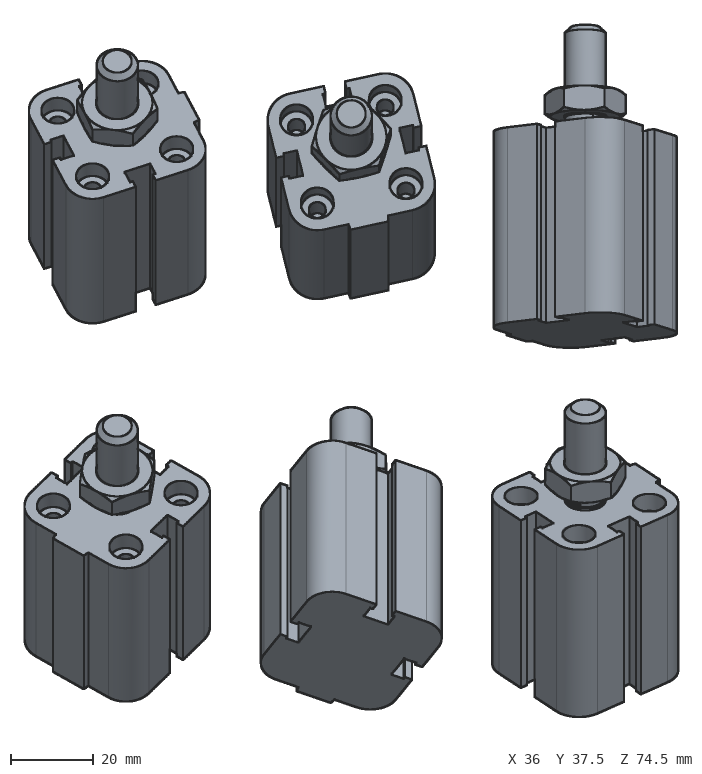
import cadquery as cq
import math

total_height = 74.5
housing_height = 48.05
end_cap_height = 12.5

housing_width = 36.0
corner_radius = 7.0
rail_height = 1.5
rail_base_width = 9.8
rail_top_width = 9.4

slot_depth = 5.3
slot_lip_depth = 1.9
slot_mouth_width = 5.2
slot_inner_width = 6.6

mount_pitch = 22.0
counterbore_diameter = 8.0
counterbore_depth = 4.85
mount_hole_diameter = 4.1
mount_hole_depth = end_cap_height

rod_diameter = 10.0
rod_tip_chamfer = 1.5
rod_depth_in_housing = end_cap_height
collar_height = 0.7
neck_diameter = 9.8
neck_shoulder_height = 0.2
flat_start_above_housing = 1.5
across_rod_flats = 7.9

nut_height = 6.0
nut_base_z = 52.5
nut_across_flats = 17.0
nut_bore_diameter = rod_diameter
nut_bore_chamfer = 0.15
nut_chamfer_angle = 30.0

half_width = housing_width / 2


def make_t_slot(side_angle):
    """T-slot cutter opening on the +Y side, turned about Z by side_angle degrees."""
    mouth = cq.Workplane("XY").center(0, half_width - slot_depth / 2).rect(slot_mouth_width, slot_depth)
    mouth = mouth.extrude(housing_height)
    inner_depth = slot_depth - slot_lip_depth
    inner_center = half_width - slot_depth + inner_depth / 2
    inner = cq.Workplane("XY").center(0, inner_center).rect(slot_inner_width, inner_depth)
    inner = inner.extrude(housing_height)
    return mouth.union(inner).rotate((0, 0, 0), (0, 0, 1), side_angle)


def make_rail():
    """Slightly tapered rail on the +Y side of the housing."""
    return (
        cq.Workplane("XY")
        .moveTo(-rail_base_width / 2, half_width)
        .lineTo(-rail_top_width / 2, half_width + rail_height)
        .lineTo(rail_top_width / 2, half_width + rail_height)
        .lineTo(rail_base_width / 2, half_width)
        .close()
        .extrude(housing_height)
    )


def make_housing():
    body = cq.Workplane("XY").rect(housing_width, housing_width).extrude(housing_height)
    body = body.edges("|Z").fillet(corner_radius).union(make_rail())
    for side_angle in (90, 180, 270):
        body = body.cut(make_t_slot(side_angle))
    body = (
        body.faces(">Z").workplane(origin=(0, 0, housing_height))
        .rect(mount_pitch, mount_pitch, forConstruction=True).vertices()
        .cboreHole(mount_hole_diameter, counterbore_diameter, counterbore_depth, mount_hole_depth)
    )
    rod_bore = cq.Workplane("XY", origin=(0, 0, housing_height)).circle(rod_diameter / 2)
    return body.cut(rod_bore.extrude(-rod_depth_in_housing))


def make_rod():
    radius = rod_diameter / 2
    neck_radius = neck_diameter / 2
    base_z = housing_height - rod_depth_in_housing
    collar_top_z = housing_height + collar_height
    rod = (
        cq.Workplane("XZ")
        .moveTo(0, base_z)
        .lineTo(radius, base_z)
        .lineTo(radius, collar_top_z)
        .lineTo(neck_radius, collar_top_z + neck_shoulder_height)
        .lineTo(neck_radius, nut_base_z - neck_shoulder_height)
        .lineTo(radius, nut_base_z)
        .lineTo(radius, total_height - rod_tip_chamfer)
        .lineTo(radius - rod_tip_chamfer, total_height)
        .lineTo(0, total_height)
        .close()
        .revolve(360, (0, 0, 0), (0, 1, 0))
    )
    flat_z = housing_height + flat_start_above_housing
    flats = cq.Workplane("XY", origin=(0, 0, flat_z)).rect(2 * rod_diameter, 2 * rod_diameter)
    flats = flats.rect(2 * rod_diameter, across_rod_flats).extrude(nut_base_z - flat_z)
    return rod.cut(flats)


def make_nut():
    across_corners = nut_across_flats / math.cos(math.pi / 6)
    hexagon = cq.Workplane("XY", origin=(0, 0, nut_base_z)).polygon(6, across_corners).extrude(nut_height)
    flat_radius = nut_across_flats / 2
    tip_radius = across_corners / 2
    chamfer_rise = (tip_radius - flat_radius) * math.tan(math.radians(nut_chamfer_angle))
    nut_top_z = nut_base_z + nut_height
    envelope = (
        cq.Workplane("XZ")
        .moveTo(0, nut_base_z)
        .lineTo(flat_radius, nut_base_z)
        .lineTo(tip_radius, nut_base_z + chamfer_rise)
        .lineTo(tip_radius, nut_top_z - chamfer_rise)
        .lineTo(flat_radius, nut_top_z)
        .lineTo(0, nut_top_z)
        .close()
        .revolve(360, (0, 0, 0), (0, 1, 0))
    )
    bore = cq.Workplane("XY", origin=(0, 0, nut_base_z)).circle(nut_bore_diameter / 2).extrude(nut_height)
    nut = hexagon.intersect(envelope).cut(bore)
    bore_ends = cq.selectors.RadiusNthSelector(0)
    return nut.edges("%CIRCLE").edges(bore_ends).chamfer(nut_bore_chamfer)


housing = make_housing()
rod = make_rod()
nut = make_nut()

result = cq.Compound.makeCompound([housing.val(), rod.val(), nut.val()])